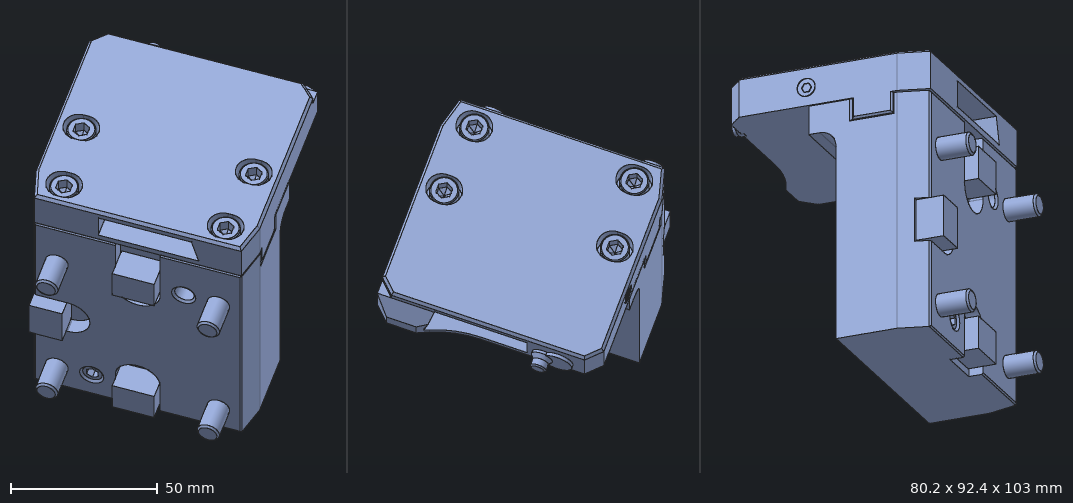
import cadquery as cq
import math

half_width = 40.12
total_height = 103.0
overlap = 1.0
front_taper_depth = 11.2
front_taper_angle = math.radians(15)
front_half_width = half_width - front_taper_depth * math.tan(front_taper_angle)

plate_bottom = 88.2
plate_thickness = total_height - plate_bottom
plate_depth = 75.0
rear_corner = 5.2
plate_edge_chamfer = 1.0

body_depth = 33.9
flange_depth = 44.0
flange_bottom = 77.4
flange_fillet = 6.0
body_edge_chamfer = 0.5
seam_chamfer = 0.3
front_gap = 0.6

slot_front = 13.0
slot_rear = 28.1
slot_floor = 80.5
slot_chamfer = 0.7

channel_left = -14.1
channel_right_bottom = 21.8
channel_right_top = 19.3
channel_floor = 90.4
channel_top = 100.0
gib_left = -12.3
gib_right_bottom = -4.5
gib_right_top = -2.4
gib_clearance = 0.5
gib_length = 24.7
clamp_y = 45.0
clamp_z = 95.1
clamp_hole_radius = 3.3
clamp_screw_recess = 0.3
clamp_tip_radius = 2.0
clamp_hex = 3.1
clamp_hex_depth = 0.3

tenon_width = 15.0
tenon_length = 11.9
tenon_projection = 4.9
pocket_width = 16.0
pocket_depth = 5.4
top_pocket_centre = 64.9
bottom_pocket_centre = 14.7
side_pocket_centre_x = -25.1
side_pocket_z = 39.9
side_pocket_length = 20.6
top_tenon_z = 71.6
bottom_tenon_z = 8.7
side_tenon_x = -31.4
side_tenon_z = 40.2

pin_radius = 4.0
pin_projection = 11.9
pin_chamfer = 0.7
pin_x = 28.9
pin_low_z = 10.9
pin_high_z = 69.0

thread_x = 16.5
thread_radius = 3.5
thread_mouth_radius = 4.3
thread_depth = 14.4
drill_half_angle = math.radians(59)
set_screw_recess = 0.8
set_screw_hex = 4.1
set_screw_hex_depth = 4.1

cap_screw_places = [(-30.9, 33.0), (30.9, 33.0), (-28.9, 7.9), (28.9, 7.9)]
cap_slot_length = 12.6
cap_slot_width = 10.7
cap_slot_depth = 8.2
cap_head_diameter = 10.0
cap_head_recess = 1.0
cap_head_chamfer = 0.4
cap_hex = 5.0
cap_hex_depth = 4.1

socket_flat_size = 0.2
socket_bottom_ratio = 0.25

rear_reach = 80.5
bulge_reach = 80.2
bulge_top = 99.4
bulge_crest_x = 24.1
bulge_arc_start_x = 2.6
bulge_arc_radius = 46.4
bulge_arc_angle = math.radians(22)
button_x = -20.0
button_z = 93.5
button_radius = 2.9
button_flare_radius = 3.9
button_flare_foot = 1.0
button_flare_length = 2.7
button_tip_chamfer = 0.5
disc_x = -25.3
disc_radius = 5.5
disc_thickness = 1.2


def block(x_range, y_range, z_range):
    """Axis-aligned box spanning the three given ranges."""
    size = [high - low for low, high in (x_range, y_range, z_range)]
    corner = (x_range[0], y_range[0], z_range[0])
    return cq.Workplane("XY").box(*size, centered=False).translate(corner)


def prism_along_y(points, y_start, y_end):
    """Straight-sided XZ profile extruded from y_start to y_end."""
    return cq.Workplane("XZ", origin=(0, y_start, 0)).polyline(points).close().extrude(y_start - y_end)


def cylinder_along_y(x, z, radius, y_start, y_end):
    """Round bar parallel to Y, from y_start to y_end."""
    return cq.Workplane("XZ", origin=(x, y_start, z)).circle(radius).extrude(y_start - y_end)


def hexagon_prism(across_flats, depth):
    """Hexagon sunk from Z = 0 down to depth, with two corners on the Y axis."""
    corner_diameter = 2 * across_flats / math.sqrt(3)
    return cq.Workplane("XY").transformed(rotate=(0, 0, 30)).polygon(6, corner_diameter).extrude(-depth)


def hex_socket(across_flats, depth):
    """Hexagonal socket opening at Z = 0, with a six-sided bottom narrowing to a small flat."""
    corner_diameter = 2 * across_flats / math.sqrt(3)
    bottom = (
        cq.Workplane("XY", origin=(0, 0, -depth))
        .transformed(rotate=(0, 0, 30))
        .polygon(6, corner_diameter)
        .workplane(offset=-across_flats * socket_bottom_ratio)
        .polygon(6, socket_flat_size)
        .loft(ruled=True)
    )
    return hexagon_prism(across_flats, depth).union(bottom)


def tapered_outline(depth, z_bottom, height):
    """Plan shape with both front corners tapered inwards."""
    points = [
        (-front_half_width, 0),
        (front_half_width, 0),
        (half_width, front_taper_depth),
        (half_width, depth),
        (-half_width, depth),
        (-half_width, front_taper_depth),
    ]
    return cq.Workplane("XY", origin=(0, 0, z_bottom)).polyline(points).close().extrude(height)


def make_body():
    """Upright body with a rear flange under the plate and a cross slot in its top."""
    body = tapered_outline(flange_depth, 0, plate_bottom)
    body = body.faces(">Z").edges("<X or >X").chamfer(seam_chamfer)
    front_clearance = block(
        (-half_width, half_width), (0, slot_front), (plate_bottom - front_gap, plate_bottom)
    )
    body = body.cut(front_clearance)
    body = body.faces("<Y").edges().chamfer(body_edge_chamfer)
    rear_relief = block((-half_width, half_width), (body_depth, flange_depth), (0, flange_bottom))
    rear_relief = rear_relief.edges("<Y and >Z").fillet(flange_fillet)
    slot = block((-half_width, half_width), (slot_front, slot_rear), (slot_floor, plate_bottom))
    body = body.cut(rear_relief).cut(slot)
    for side in (-1, 1):
        body = body.cut(slot_end_flare(side))
    return body


def slot_end_flare(side):
    """Chamfer around the slot at one end; side is -1 for the left end and 1 for the right."""
    end_plane = cq.Workplane("YZ", origin=(side * half_width, 0, 0))
    middle = (slot_front + slot_rear) / 2
    width = slot_rear - slot_front
    height = plate_bottom - slot_floor
    return (
        end_plane.center(middle, plate_bottom)
        .rect(width + 2 * slot_chamfer, 2 * (height + slot_chamfer))
        .workplane(offset=-side * slot_chamfer)
        .rect(width, 2 * height)
        .loft(ruled=True)
        .intersect(block((-half_width, half_width), (0, flange_depth), (0, plate_bottom)))
    )


def make_plate():
    """Top plate with cut rear corners, a bevelled top edge and a tongue filling the body slot."""
    plate = tapered_outline(plate_depth, plate_bottom, plate_thickness)
    plate = plate.edges("|Z and >Y").chamfer(rear_corner)
    plate = plate.faces(">Z").edges().chamfer(plate_edge_chamfer)
    tongue = block((-half_width, half_width), (slot_front, slot_rear), (slot_floor, plate_bottom))
    tongue = tongue.faces("<X or >X").edges("not >Z").chamfer(slot_chamfer)
    return plate.union(tongue)


def cut_channel(plate):
    """Dovetail channel running from front to rear, through the bulge as well."""
    profile = [
        (channel_left, channel_floor),
        (channel_right_bottom, channel_floor),
        (channel_right_top, channel_top),
        (channel_left, channel_top),
    ]
    return plate.cut(prism_along_y(profile, 0, rear_reach))


def make_gib():
    """Clamping gib inside the channel, its right side sloped to form the dovetail."""
    bottom = channel_floor + gib_clearance
    top = channel_top - gib_clearance
    profile = [
        (gib_left, bottom),
        (gib_right_bottom, bottom),
        (gib_right_top, top),
        (gib_left, top),
    ]
    return prism_along_y(profile, clamp_y - gib_length / 2, clamp_y + gib_length / 2)


def add_clamp_screw(part):
    """Set screw entering from the left side and pressing on the gib."""
    side = cq.Workplane("YZ", origin=(-half_width, clamp_y, clamp_z))
    recess = side.circle(clamp_hole_radius).extrude(clamp_screw_recess)
    tip = side.circle(clamp_tip_radius).extrude(half_width + gib_left)
    socket = hexagon_prism(clamp_hex, clamp_hex_depth).rotate((0, 0, 0), (0, 1, 0), -90)
    socket = socket.translate((-half_width + clamp_screw_recess, clamp_y, clamp_z))
    return part.union(tip).cut(recess).cut(socket)


def round_ended_pocket(x, z, length, angle):
    """Pocket in the mounting face; its straight part runs from the arc centre (x, z) along angle."""
    pocket = (
        cq.Workplane("XZ")
        .moveTo(0, pocket_width / 2)
        .threePointArc((-pocket_width / 2, 0), (0, -pocket_width / 2))
        .lineTo(length, -pocket_width / 2)
        .lineTo(length, pocket_width / 2)
        .close()
        .extrude(-pocket_depth)
    )
    return pocket.rotate((0, 0, 0), (0, 1, 0), -angle).translate((x, 0, z))


def add_tenons(part):
    """Three round-ended pockets in the mounting face, each with a tenon block standing in it."""
    pockets = [
        round_ended_pocket(0, top_pocket_centre, plate_bottom - top_pocket_centre, 90),
        round_ended_pocket(0, bottom_pocket_centre, bottom_pocket_centre, -90),
        round_ended_pocket(side_pocket_centre_x, side_pocket_z, side_pocket_length, 180),
    ]
    for pocket in pockets:
        part = part.cut(pocket)
    tenon_depth = tenon_projection + pocket_depth
    tenon_middle = pocket_depth - tenon_depth / 2
    upright = cq.Workplane("XY").box(tenon_width, tenon_depth, tenon_length)
    sideways = cq.Workplane("XY").box(tenon_length, tenon_depth, tenon_width)
    part = part.union(upright.translate((0, tenon_middle, top_tenon_z)))
    part = part.union(upright.translate((0, tenon_middle, bottom_tenon_z)))
    return part.union(sideways.translate((side_tenon_x, tenon_middle, side_tenon_z)))


def add_pins(part):
    """Four chamfered pins standing on the mounting face."""
    for x in (-pin_x, pin_x):
        for z in (pin_low_z, pin_high_z):
            pin = cylinder_along_y(x, z, pin_radius, -pin_projection, overlap)
            part = part.union(pin.faces("<Y").chamfer(pin_chamfer))
    return part


def thread_hole(x, z, depth):
    """Hole in the mounting face with a countersunk mouth and a conical bottom."""
    mouth_depth = thread_mouth_radius - thread_radius
    cone_depth = thread_radius / math.tan(drill_half_angle)
    profile = [
        (0, 0),
        (thread_mouth_radius, 0),
        (thread_radius, mouth_depth),
        (thread_radius, depth),
        (0, depth + cone_depth),
    ]
    hole = cq.Workplane("XY").polyline(profile).close().revolve(360, (0, 0), (0, 1))
    return hole.translate((x, 0, z))


def add_threads(part):
    """Open threaded hole at upper right and a socket set screw at lower left."""
    part = part.cut(thread_hole(thread_x, pin_high_z, thread_depth))
    part = part.cut(thread_hole(-thread_x, pin_low_z, thread_depth))
    screw = cylinder_along_y(-thread_x, pin_low_z, thread_radius, set_screw_recess, thread_depth)
    socket = hex_socket(set_screw_hex, set_screw_hex_depth).rotate((0, 0, 0), (1, 0, 0), 90)
    socket = socket.translate((-thread_x, set_screw_recess, pin_low_z))
    return part.union(screw).cut(socket)


def add_cap_screws(part):
    """Cap screws sunk into slots that leave them sideways play."""
    slot_floor_z = total_height - cap_slot_depth
    head_height = cap_slot_depth - cap_head_recess
    head = cq.Workplane("XY").circle(cap_head_diameter / 2).extrude(head_height)
    head = head.faces(">Z").edges().chamfer(cap_head_chamfer)
    head = head.cut(hex_socket(cap_hex, cap_hex_depth).translate((0, 0, head_height)))
    slot = cq.Workplane("XY").slot2D(cap_slot_length, cap_slot_width).extrude(cap_slot_depth)
    for x, y in cap_screw_places:
        place = (x, y, slot_floor_z)
        part = part.cut(slot.translate(place)).union(head.translate(place))
    return part


def make_bulge():
    """Thumb bulge on the right of the rear face, bevelled at 45 degrees along its top."""
    half_angle = bulge_arc_angle / 2
    arc_middle = (
        bulge_arc_start_x + bulge_arc_radius * math.sin(half_angle),
        plate_depth + bulge_arc_radius * (1 - math.cos(half_angle)),
    )
    arc_end = (
        bulge_arc_start_x + bulge_arc_radius * math.sin(bulge_arc_angle),
        plate_depth + bulge_arc_radius * (1 - math.cos(bulge_arc_angle)),
    )
    reach = bulge_reach - plate_depth
    bulge = (
        cq.Workplane("XY", origin=(0, 0, plate_bottom))
        .moveTo(bulge_arc_start_x, plate_depth)
        .threePointArc(arc_middle, arc_end)
        .lineTo(bulge_crest_x, bulge_reach)
        .lineTo(half_width - reach, bulge_reach)
        .lineTo(half_width, plate_depth)
        .lineTo(half_width, plate_depth - rear_corner)
        .lineTo(half_width - rear_corner, plate_depth - rear_corner)
        .lineTo(bulge_arc_start_x, plate_depth - rear_corner)
        .close()
        .extrude(bulge_top - plate_bottom)
    )
    bevel = (
        cq.Workplane("YZ")
        .polyline([(plate_depth, bulge_top), (bulge_reach, bulge_top), (bulge_reach, bulge_top - reach)])
        .close()
        .extrude(half_width)
    )
    return bulge.cut(bevel)


def make_button():
    """Flared button on the rear face, turned about the Y axis."""
    length = rear_reach - plate_depth
    profile = [
        (0, -overlap),
        (button_flare_radius, -overlap),
        (button_flare_radius, button_flare_foot),
        (button_radius, button_flare_length),
        (button_radius, length - button_tip_chamfer),
        (button_radius - button_tip_chamfer, length),
        (0, length),
    ]
    button = cq.Workplane("XY").polyline(profile).close().revolve(360, (0, 0), (0, 1))
    return button.translate((button_x, plate_depth, button_z))


def make_disc():
    """Low disc on the rear face, beside the button."""
    disc_front = plate_depth - overlap
    disc_rear = plate_depth + disc_thickness
    return cylinder_along_y(disc_x, button_z, disc_radius, disc_front, disc_rear)


plate = make_plate().union(make_bulge())
plate = cut_channel(plate).union(make_gib())
plate = add_clamp_screw(plate)
plate = add_cap_screws(plate)
plate = plate.union(make_disc()).union(make_button())

body = make_body()
body = add_tenons(body)
body = add_pins(body)
body = add_threads(body)

result = body.union(plate)